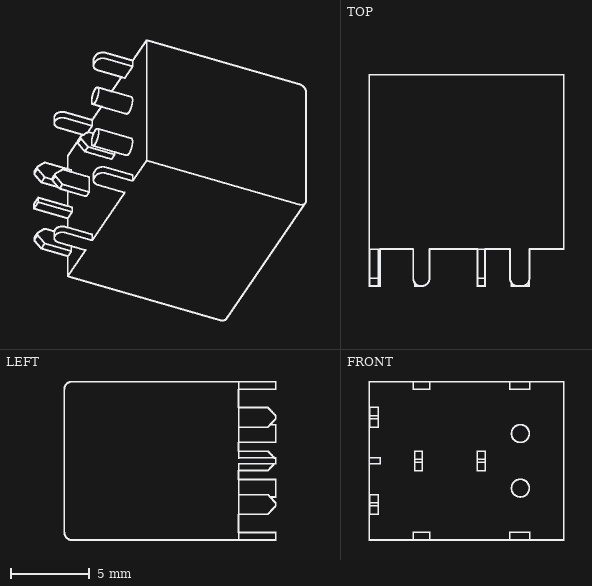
import cadquery as cq

body_width = 12.34
body_height = 10.05
overall_depth = 13.4
pin_length = 2.35
back_radius = 0.5
pin_face_y = 0.0
tip_y = pin_face_y - pin_length
body_depth = overall_depth - pin_length

tabs = [(3.31, 1.05), (9.54, 1.25)]
tab_thickness = 0.5
tab_corner_radius = 0.5

blade_height = 1.25
blade_tip_height = 0.19
blade_taper_length = 0.5
side_blade_left = 0.04
side_blade_thickness = 0.55
side_blade_z = 2.76
blades = [
    (side_blade_left, side_blade_thickness, side_blade_z),
    (side_blade_left, side_blade_thickness, -side_blade_z),
    (2.9, 0.47, 0.0),
    (6.86, 0.5, 0.0),
]

bar_width = 0.7
bar_height = 0.39

round_pin_diameter = 1.13
round_pin_x = 9.58
round_pin_z = 1.73


def box_from_corner(width, depth, height, x, y):
    """Box starting at the given X and Y, centred on Z = 0."""
    return cq.Workplane("XY").box(
        width, depth, height, centered=(False, False, True)
    ).translate((x, y, 0))


def make_body():
    """Block with the two back edges along X rounded."""
    body = box_from_corner(body_width, body_depth, body_height, 0, pin_face_y)
    return body.faces(">Y").edges("|X").fillet(back_radius)


def make_tab(center_x, width, center_z):
    """Flat tab with rounded free corners."""
    tab = box_from_corner(width, pin_length, tab_thickness, center_x - width / 2, tip_y)
    tab = tab.faces("<Y").edges("|Z").fillet(tab_corner_radius)
    return tab.translate((0, 0, center_z))


def make_blade(left_x, thickness, center_z):
    """Flat blade tapering on both edges to a narrow blunt tip."""
    shoulder_y = tip_y + blade_taper_length
    half_height = blade_height / 2
    half_tip = blade_tip_height / 2
    outline = [
        (pin_face_y, -half_height),
        (shoulder_y, -half_height),
        (tip_y, -half_tip),
        (tip_y, half_tip),
        (shoulder_y, half_height),
        (pin_face_y, half_height),
    ]
    blade = cq.Workplane("YZ").polyline(outline).close().extrude(thickness)
    return blade.translate((left_x, 0, center_z))


def make_round_pin(center_z):
    """Plain cylinder running from the pin face to the tip plane."""
    return (
        cq.Workplane("XZ", origin=(round_pin_x, pin_face_y, center_z))
        .circle(round_pin_diameter / 2)
        .extrude(pin_length)
    )


result = make_body()
for side in (1, -1):
    tab_z = side * (body_height - tab_thickness) / 2
    for tab_x, tab_width in tabs:
        result = result.union(make_tab(tab_x, tab_width, tab_z))
    result = result.union(make_round_pin(side * round_pin_z))
for blade_left, blade_thickness, blade_z in blades:
    result = result.union(make_blade(blade_left, blade_thickness, blade_z))
result = result.union(box_from_corner(bar_width, pin_length, bar_height, 0, tip_y))